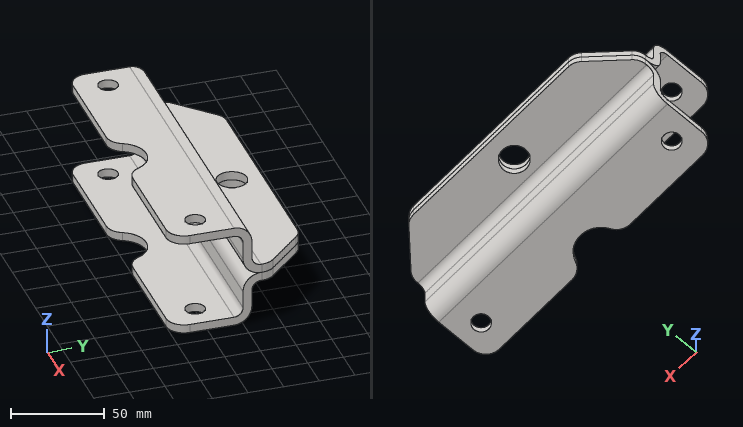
import cadquery as cq

length = 180.0
depth = 80.0
height = 60.0

sheet = 5.0
bend_inner = 5.0
bend_outer = bend_inner + sheet

front_y = -depth / 2
back_y = depth / 2
front_flange_depth = 45.0
web_back_y = front_y + front_flange_depth
web_front_y = web_back_y - sheet

corner_radius = 10.0
back_chamfer = 25.0

back_hole_diameter = 17.0
back_hole_inset = 17.0
front_hole_diameter = 11.0
front_hole_spacing = 150.0
front_hole_inset = 18.0
notch_radius = 15.0


def bent_sheet():
    """Z-shaped sheet: back flange on Z = 0, upright web, raised front flange."""
    top_z = height / 2
    profile = (
        cq.Workplane("YZ")
        .moveTo(back_y, 0)
        .lineTo(web_front_y + bend_outer, 0)
        .radiusArc((web_front_y, bend_outer), bend_outer)
        .lineTo(web_front_y, top_z - bend_outer)
        .radiusArc((web_front_y - bend_inner, top_z - sheet), -bend_inner)
        .lineTo(front_y, top_z - sheet)
        .lineTo(front_y, top_z)
        .lineTo(web_back_y - bend_outer, top_z)
        .radiusArc((web_back_y, top_z - bend_outer), bend_outer)
        .lineTo(web_back_y, bend_outer)
        .radiusArc((web_back_y + bend_inner, sheet), -bend_inner)
        .lineTo(back_y, sheet)
        .close()
    )
    return profile.extrude(length / 2, both=True)


def plan_outline():
    """Upright block whose plan has the rounded corners, back chamfers and front notch."""
    block = cq.Workplane("XY").box(length, depth, height)
    block = block.edges("|Z and >Y").chamfer(back_chamfer)
    notch = cq.Workplane("XY").center(0, front_y).circle(notch_radius).extrude(height / 2, both=True)
    return block.cut(notch).edges("|Z").fillet(corner_radius)


def hole_cutters():
    """Vertical cylinders for the back hole and the two front holes."""
    back_hole = (
        cq.Workplane("XY")
        .center(0, back_y - back_hole_inset)
        .circle(back_hole_diameter / 2)
        .extrude(height)
    )
    front_holes = (
        cq.Workplane("XY")
        .center(0, front_y + front_hole_inset)
        .rarray(front_hole_spacing, 1.8, 2, 1)
        .circle(front_hole_diameter / 2)
        .extrude(height)
    )
    return back_hole.add(front_holes).combine()


def bracket_plate():
    """Upper plate, resting on the plane Z = 0."""
    return bent_sheet().intersect(plan_outline()).cut(hole_cutters())


plates = []
for flipped in (False, True):
    plate = bracket_plate()
    if flipped:
        plate = plate.mirror("XY")
    plates.append(plate.val())

result = cq.Compound.makeCompound([solid for plate in plates for solid in plate.Solids()])